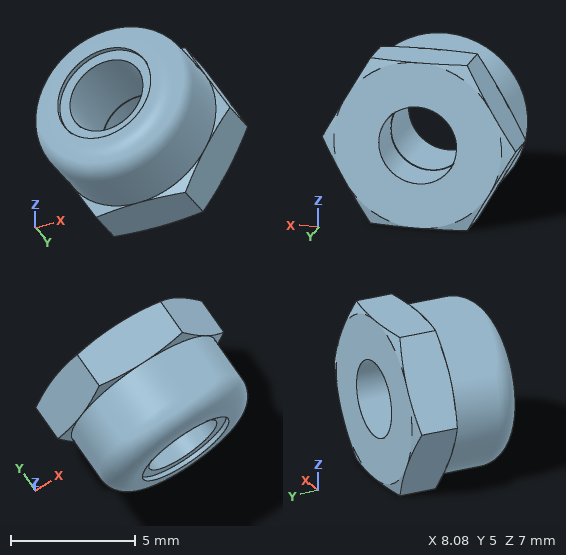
import cadquery as cq
import math

across_corners = 8.08
across_flats = across_corners * math.cos(math.radians(30))
total_length = 5.0
hex_height = 1.95
rim_radius = 1.02
corner_chamfer_drop = 0.18
recess_diameter = 4.2
recess_depth = 0.2
insert_bore = 3.3
thread_bore = 3.24

collar_length = total_length - hex_height
insert_length = collar_length - recess_depth
corner_radius = across_corners / 2
collar_radius = across_flats / 2


def cylinder(diameter, start, length):
    """Cylinder along +Y, beginning at the given Y position."""
    plane = cq.Workplane("XZ", origin=(0, start, 0))
    return plane.circle(diameter / 2).extrude(-length)


def hexagon():
    """Hexagon with its corners on the X axis and both ends turned conical."""
    prism = (
        cq.Workplane("XZ", origin=(0, collar_length, 0))
        .polygon(6, across_corners)
        .extrude(-hex_height)
    )
    turned_envelope = (
        cq.Workplane("XY")
        .moveTo(0, collar_length)
        .lineTo(collar_radius, collar_length)
        .lineTo(corner_radius, collar_length + corner_chamfer_drop)
        .lineTo(corner_radius, total_length - corner_chamfer_drop)
        .lineTo(collar_radius, total_length)
        .lineTo(0, total_length)
        .close()
        .revolve(360, (0, 0, 0), (0, 1, 0))
    )
    return prism.intersect(turned_envelope)


def collar():
    """Round locking collar with a rolled-over front rim."""
    return cylinder(across_flats, 0, collar_length).faces("<Y").edges().fillet(rim_radius)


result = (
    hexagon()
    .union(collar())
    .cut(cylinder(recess_diameter, 0, recess_depth))
    .cut(cylinder(insert_bore, recess_depth, insert_length))
    .cut(cylinder(thread_bore, 0, total_length))
)